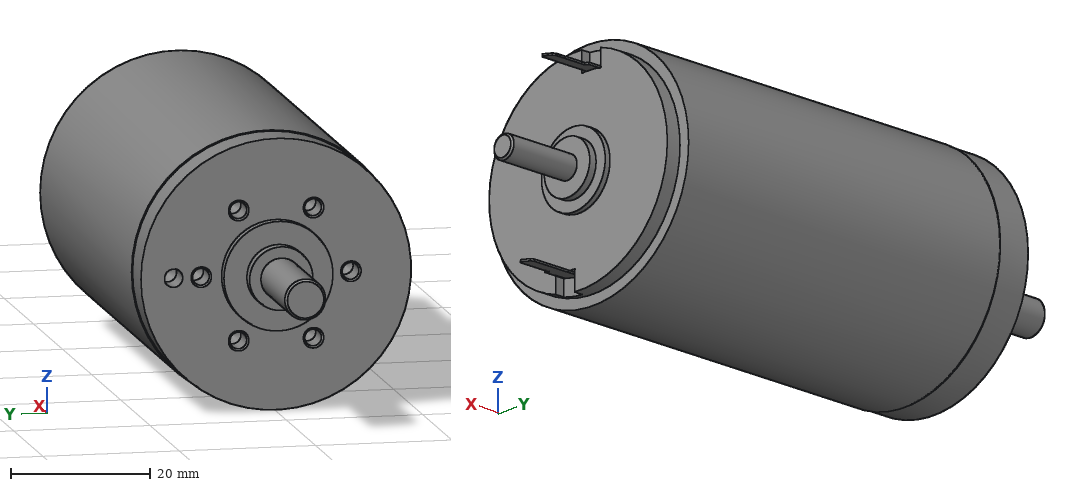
import cadquery as cq
import math

total_length = 106.6
front_collar_start = 16.7
front_boss_start = 18.7
front_plate_start = 20.3
housing_start = 26.0
housing_end = 88.8
rear_cap_end = 91.4
rear_boss_end = 92.3
rear_collar_end = 93.6

front_shaft_diameter = 6.0
collar_diameter = 9.3
front_boss_diameter = 16.0
front_plate_diameter = 39.7
housing_diameter = 40.0
rear_cap_diameter = 36.5
rear_boss_diameter = 13.0
rear_shaft_diameter = 4.0
shaft_chamfer = 0.3

mounting_hole_count = 6
mounting_circle_diameter = 22.0
mounting_hole_diameter = 2.5
mounting_hole_mouth = 3.0
extra_hole_diameter = 2.7
extra_hole_offset = 15.0
hole_depth = 4.3
drill_tip_angle = 118.0

terminal_radius = 15.2
terminal_angle = 10.0
terminal_thickness = 0.3
terminal_base_width = 3.7
terminal_blade_width = 2.9
terminal_start = 89.8
terminal_blade_start = rear_collar_end
terminal_end = 99.8
terminal_tip_chamfer = 0.4
slot_inner_side = 0.7
slot_outer_side = 4.6
slot_floor = 14.7


def cylinder_along_x(start, end, diameter):
    """Solid cylinder centred on the motor axis between two stations."""
    return cq.Workplane("YZ", origin=(start, 0, 0)).circle(diameter / 2).extrude(end - start)


def make_turned_body():
    front_shaft = cylinder_along_x(0, front_collar_start, front_shaft_diameter)
    rear_shaft = cylinder_along_x(rear_collar_end, total_length, rear_shaft_diameter)
    body = front_shaft.faces("<X").chamfer(shaft_chamfer)
    sections = [
        (front_collar_start, front_boss_start, collar_diameter),
        (front_boss_start, front_plate_start, front_boss_diameter),
        (front_plate_start, housing_start, front_plate_diameter),
        (housing_start, housing_end, housing_diameter),
        (housing_end, rear_cap_end, rear_cap_diameter),
        (rear_cap_end, rear_boss_end, rear_boss_diameter),
        (rear_boss_end, rear_collar_end, collar_diameter),
    ]
    for start, end, diameter in sections:
        body = body.union(cylinder_along_x(start, end, diameter))
    return body.union(rear_shaft.faces(">X").chamfer(shaft_chamfer))


def make_drill(diameter, mouth_diameter, y, z):
    """Drilled hole with a conical tip and, if the mouth is wider, a 45 degree countersink."""
    radius = diameter / 2
    mouth_radius = mouth_diameter / 2
    tip_depth = radius / math.tan(math.radians(drill_tip_angle / 2))
    profile = cq.Workplane("XY").moveTo(0, 0).lineTo(0, mouth_radius)
    if mouth_radius > radius:
        profile = profile.lineTo(mouth_radius - radius, radius)
    profile = profile.lineTo(hole_depth, radius).lineTo(hole_depth + tip_depth, 0).close()
    return profile.revolve(360, (0, 0, 0), (1, 0, 0)).translate((front_plate_start, y, z))


def make_front_holes():
    holes = make_drill(extra_hole_diameter, extra_hole_diameter, extra_hole_offset, 0)
    for index in range(mounting_hole_count):
        angle = 2 * math.pi * index / mounting_hole_count
        y = mounting_circle_diameter / 2 * math.cos(angle)
        z = mounting_circle_diameter / 2 * math.sin(angle)
        holes = holes.union(make_drill(mounting_hole_diameter, mounting_hole_mouth, y, z))
    return holes


def make_plate(start, end, width, height):
    """Box on the inner face level of a terminal, flush with the terminal's straight side."""
    corner = (start, -terminal_base_width / 2, terminal_radius - terminal_thickness / 2)
    return cq.Workplane("XY").box(end - start, width, height, centered=False).translate(corner)


def make_terminal():
    base = make_plate(terminal_start, terminal_blade_start, terminal_base_width, terminal_thickness)
    blade = make_plate(terminal_start, terminal_end, terminal_blade_width, terminal_thickness)
    return base.union(blade.faces(">X").edges("|Z").chamfer(terminal_tip_chamfer))


def make_terminal_slot():
    """Upright cutter, open through the rim and rear face of the cap."""
    length = rear_cap_end - terminal_start
    width = slot_outer_side - slot_inner_side
    height = rear_cap_diameter / 2 - slot_floor
    corner = (terminal_start, slot_inner_side, slot_floor)
    return cq.Workplane("XY").box(length, width, height, centered=False).translate(corner)


def turn_about_axis(shape, angle):
    return shape.rotate((0, 0, 0), (1, 0, 0), angle)


result = make_turned_body().cut(make_front_holes())

for half_turn in (0, 180):
    result = result.cut(turn_about_axis(make_terminal_slot(), half_turn))
    result = result.union(turn_about_axis(make_terminal(), half_turn - terminal_angle))

result = result.translate((-total_length / 2, 0, 0))